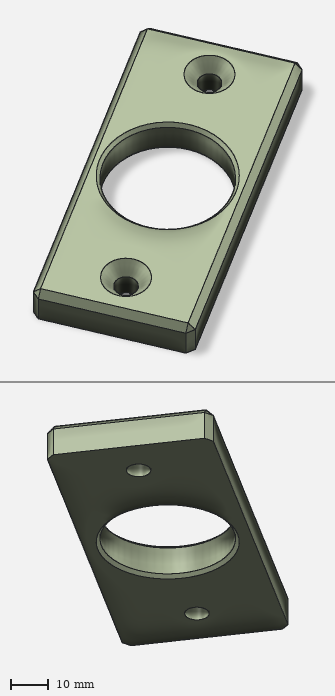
import cadquery as cq

length = 100.0
width = 45.0
thickness = 10.0
edge_chamfer = 2.0

bore_diameter = 36.0
bore_chamfer = 1.0

screw_spacing = 75.0
screw_diameter = 6.5
countersink_diameter = 13.5
countersink_angle = 90.0


def make_plate():
    """Block on Z = 0 with its upright and top edges chamfered; bottom edges stay sharp."""
    block = cq.Workplane("XY").box(width, length, thickness, centered=(True, True, False))
    return block.edges("|Z or >Z").chamfer(edge_chamfer)


def add_bore(plate):
    """Through bore with both rims chamfered."""
    bored = plate.faces(">Z").workplane(origin=(0, 0, thickness)).hole(bore_diameter)
    return bored.edges("%CIRCLE").chamfer(bore_chamfer)


def add_screw_holes(plate):
    """Through holes countersunk from the top face."""
    return (
        plate.faces(">Z")
        .workplane(origin=(0, 0, thickness))
        .pushPoints([(0, -screw_spacing / 2), (0, screw_spacing / 2)])
        .cskHole(screw_diameter, countersink_diameter, countersink_angle)
    )


result = add_screw_holes(add_bore(make_plate()))